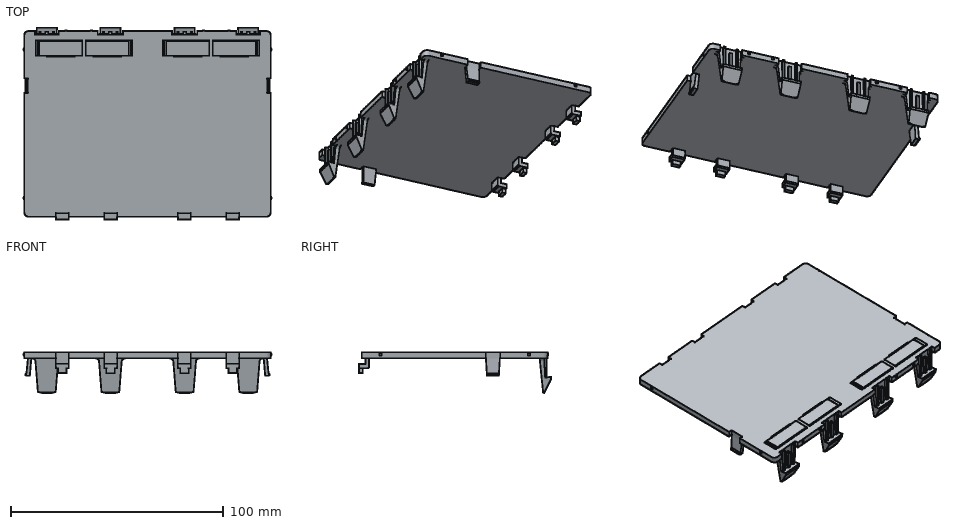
import cadquery as cq
import math


PLATE_LENGTH = 116.2
PLATE_WIDTH = 87.6
PLATE_THICKNESS = 3.0
CORNER_RADIUS = 2.1
HALF_LENGTH = PLATE_LENGTH / 2
HALF_WIDTH = PLATE_WIDTH / 2

NOTCH_DEPTH = 1.72

PIP_HEIGHT = 0.35
PIP_BASE_RADIUS = 0.65
PIP_Z = PLATE_THICKNESS - 1.07
SIDE_PIP_Y = 35.0
HOOK_EDGE_PIP_X = (26.4, 38.4)

HOOK_NOTCHES = ((17.5, 11.7), (47.45, 11.1))
HOOK_DEPTH = 16.28
HOOK_TOP_WIDTH = 11.0
HOOK_BOTTOM_WIDTH = 8.5
HOOK_ROOT_RADIUS = 1.5
HOOK_TIP_CHAMFER = 2.0
HOOK_TIP_DROP = 0.5
HOOK_ROOT_THICKNESS = 2.1
HOOK_LEAN = 0.5
BARB_OVERHANG = 1.6
BARB_TOP_DEPTH = 8.55
BARB_UNDERCUT = 0.45
BARB_NOSE_DEPTH = 9.9
HOOK_TIP_SETBACK = 1.6
HOOK_BACK_SETBACK = 2.2
HOOK_BACK_DEPTH = 16.0

RIB_SETBACK = 0.43
OUTER_RIB_OFFSET = 3.2
OUTER_RIB_WIDTH = 0.8
MIDDLE_RIB_WIDTH = 1.3

STEP_CLIP_X = (17.4, 40.1)
STEP_CLIP_WIDTH = 6.15
STEP_WALL = 1.8
STEP_OVERHANG = 1.3
STEP_TOP_DEPTH = 2.55
STEP_BOTTOM_DEPTH = 4.65
STEP_CHAMFER = 0.6
TONGUE_WIDTH = 4.0
TONGUE_THICKNESS = 1.9
TONGUE_DEPTH = 6.9

SIDE_CLIP_Y = 18.0
SIDE_NOTCH_WIDTH = 6.85
SIDE_CLIP_TOP_WIDTH = 6.7
SIDE_CLIP_BOTTOM_WIDTH = 5.7
SIDE_CLIP_THICKNESS = 1.7
SIDE_CLIP_LEAN = 0.7
SIDE_BARB_SETBACK = 0.43
SIDE_BARB_TOP_DEPTH = 6.87
SIDE_BARB_NOSE_DEPTH = 7.7
SIDE_CLIP_DEPTH = 8.15

PAIR_X = 29.85
PAIR_GAP = 1.72
POCKET_LENGTH = 21.9
POCKET_WIDTH = 7.3
POCKET_EDGE_DISTANCE = 4.4
POCKET_DEPTH = 0.8
POCKET_RAMP = 0.86
LABEL_END_GAP = 1.72
LABEL_SIDE_GAP = 0.43
POCKET_RELIEF_LENGTH = 13.2
POCKET_RELIEF_WIDTH = 0.43
POCKET_Y_MAX = HALF_WIDTH - POCKET_EDGE_DISTANCE
POCKET_Y_MIN = POCKET_Y_MAX - POCKET_WIDTH
POCKET_FLOOR = PLATE_THICKNESS - POCKET_DEPTH
LABEL_LENGTH = POCKET_LENGTH - LABEL_END_GAP
LABEL_X_MIN = PAIR_X + PAIR_GAP / 2
LABEL_WIDTH = POCKET_WIDTH - LABEL_SIDE_GAP


def box(x_min, x_max, y_min, y_max, z_min, z_max):
    """Block between the given limits."""
    return (
        cq.Workplane("XY")
        .box(x_max - x_min, y_max - y_min, z_max - z_min, centered=False)
        .translate((x_min, y_min, z_min))
    )


def yz_prism(points, x_center, width):
    """Outline in the YZ plane, extruded equally to both sides of x_center."""
    outline = cq.Workplane("YZ", origin=(x_center, 0, 0)).polyline(points).close()
    return outline.extrude(width / 2, both=True)


def both_signs(distances):
    """Each distance on both sides of the middle."""
    return [sign * distance for distance in distances for sign in (-1, 1)]


def plate():
    """Flat cover with rounded corners."""
    return (
        cq.Workplane("XY")
        .rect(PLATE_LENGTH, PLATE_WIDTH)
        .extrude(PLATE_THICKNESS)
        .edges("|Z")
        .fillet(CORNER_RADIUS)
    )


def edge_notches():
    """Notches through the plate edge at every hook and clip."""
    double_depth = 2 * NOTCH_DEPTH
    notches = []
    for distance, width in HOOK_NOTCHES:
        for x in both_signs([distance]):
            notches.append((x, HALF_WIDTH, width, double_depth))
    for x in both_signs(STEP_CLIP_X):
        notches.append((x, -HALF_WIDTH, STEP_CLIP_WIDTH, double_depth))
    for x in both_signs([HALF_LENGTH]):
        notches.append((x, SIDE_CLIP_Y, double_depth, SIDE_NOTCH_WIDTH))
    return [
        cq.Workplane("XY").center(x, y).rect(size_x, size_y).extrude(PLATE_THICKNESS)
        for x, y, size_x, size_y in notches
    ]


def pips():
    """Spherical caps standing on the side edges and on the hook edge."""
    sphere_radius = (PIP_BASE_RADIUS**2 + PIP_HEIGHT**2) / (2 * PIP_HEIGHT)
    sink = sphere_radius - PIP_HEIGHT
    centers = [(x, y) for x in both_signs([HALF_LENGTH - sink]) for y in both_signs([SIDE_PIP_Y])]
    centers += [(x, HALF_WIDTH - sink) for x in both_signs(HOOK_EDGE_PIP_X)]
    sphere = cq.Workplane("XY").sphere(sphere_radius).rotate((0, 0, 0), (0, 0, 1), -90)
    return [sphere.translate((x, y, PIP_Z)) for x, y in centers]


def snap_hook(x):
    """Tapered hook with an outward barb, hanging from the floor of its notch."""
    root_y = HALF_WIDTH - NOTCH_DEPTH
    side_profile = yz_prism(
        [
            (root_y - HOOK_ROOT_THICKNESS, 0),
            (root_y, 0),
            (root_y + HOOK_LEAN, -BARB_TOP_DEPTH - BARB_UNDERCUT),
            (HALF_WIDTH + BARB_OVERHANG, -BARB_TOP_DEPTH),
            (HALF_WIDTH + BARB_OVERHANG, -BARB_NOSE_DEPTH),
            (HALF_WIDTH - HOOK_TIP_SETBACK, -HOOK_DEPTH),
            (HALF_WIDTH - HOOK_BACK_SETBACK, -HOOK_BACK_DEPTH),
        ],
        x,
        2 * HOOK_TOP_WIDTH,
    )
    top = HOOK_TOP_WIDTH / 2
    bottom = HOOK_BOTTOM_WIDTH / 2
    corner_depth = HOOK_DEPTH - HOOK_TIP_DROP
    taper = math.atan((top - bottom) / corner_depth)
    tangent = HOOK_ROOT_RADIUS * math.tan(math.pi / 4 - taper / 2)
    arc_start = (top + tangent, 0)
    arc_end = (top - tangent * math.sin(taper), -tangent * math.cos(taper))
    middle_angle = (math.pi / 2 - taper) / 2
    arc_middle = (
        arc_start[0] - HOOK_ROOT_RADIUS * math.sin(middle_angle),
        -HOOK_ROOT_RADIUS * (1 - math.cos(middle_angle)),
    )
    front_profile = (
        cq.Workplane("XZ")
        .moveTo(0, 0)
        .lineTo(*arc_start)
        .threePointArc(arc_middle, arc_end)
        .lineTo(bottom, -corner_depth)
        .lineTo(bottom - HOOK_TIP_CHAMFER, -HOOK_DEPTH)
        .lineTo(0, -HOOK_DEPTH)
        .close()
        .extrude(PLATE_WIDTH, both=True)
    )
    front_profile = front_profile.union(front_profile.mirror("YZ"))
    return side_profile.intersect(front_profile.translate((x, 0, 0)))


def hook_ribs(x):
    """Two full-height ribs near the hook flanks and a lower one in the middle, all down to the barb."""
    floor_y = HALF_WIDTH - NOTCH_DEPTH
    face_y = HALF_WIDTH - RIB_SETBACK
    foot_z = -BARB_TOP_DEPTH - BARB_UNDERCUT
    back_y = floor_y - HOOK_ROOT_THICKNESS / 2

    def rib(center, width, top_z):
        lower = box(center - width / 2, center + width / 2, back_y, face_y, foot_z, 0)
        upper = box(center - width / 2, center + width / 2, floor_y, face_y, foot_z, top_z)
        return lower.union(upper)

    ribs = [rib(x + offset, OUTER_RIB_WIDTH, PLATE_THICKNESS) for offset in both_signs([OUTER_RIB_OFFSET])]
    ribs.append(rib(x, MIDDLE_RIB_WIDTH, 0))
    return ribs


def step_clip(x):
    """Wall below the notch floor that steps outward and ends in a narrow tongue."""
    outer_y = -HALF_WIDTH - STEP_OVERHANG
    wall_outer_y = -HALF_WIDTH + NOTCH_DEPTH
    wall_inner_y = wall_outer_y + STEP_WALL
    bracket = yz_prism(
        [
            (wall_inner_y, 0),
            (wall_inner_y, -STEP_BOTTOM_DEPTH + STEP_CHAMFER),
            (wall_inner_y - STEP_CHAMFER, -STEP_BOTTOM_DEPTH),
            (outer_y, -STEP_BOTTOM_DEPTH),
            (outer_y, -STEP_TOP_DEPTH),
            (wall_outer_y, -STEP_TOP_DEPTH),
            (wall_outer_y, 0),
        ],
        x,
        STEP_CLIP_WIDTH,
    )
    tongue = box(
        x - TONGUE_WIDTH / 2,
        x + TONGUE_WIDTH / 2,
        outer_y,
        outer_y + TONGUE_THICKNESS,
        -TONGUE_DEPTH,
        -STEP_BOTTOM_DEPTH,
    )
    return bracket.union(tongue)


def side_clip():
    """Tapered clip on the +X edge, leaning outward to a small barb."""
    root_x = HALF_LENGTH - NOTCH_DEPTH
    nose_x = HALF_LENGTH - SIDE_BARB_SETBACK
    foot_x = root_x + SIDE_CLIP_LEAN
    side_profile = (
        cq.Workplane("XZ")
        .polyline(
            [
                (root_x - SIDE_CLIP_THICKNESS, 0),
                (root_x, 0),
                (foot_x, -SIDE_BARB_TOP_DEPTH),
                (nose_x, -SIDE_BARB_NOSE_DEPTH),
                (foot_x, -SIDE_CLIP_DEPTH),
                (foot_x - SIDE_CLIP_THICKNESS, -SIDE_CLIP_DEPTH),
            ]
        )
        .close()
        .extrude(PLATE_WIDTH, both=True)
    )
    top = SIDE_CLIP_TOP_WIDTH / 2
    bottom = SIDE_CLIP_BOTTOM_WIDTH / 2
    front_profile = (
        cq.Workplane("YZ")
        .polyline(
            [
                (SIDE_CLIP_Y - top, 0),
                (SIDE_CLIP_Y + top, 0),
                (SIDE_CLIP_Y + bottom, -SIDE_CLIP_DEPTH),
                (SIDE_CLIP_Y - bottom, -SIDE_CLIP_DEPTH),
            ]
        )
        .close()
        .extrude(PLATE_LENGTH)
    )
    return side_profile.intersect(front_profile)


def at_label_places(shape):
    """Copies of a shape, made for the outer place on the +X side, at all four label places."""
    inner = shape.mirror("YZ", (PAIR_X, 0, 0))
    right_pair = [inner, shape]
    return [copy.mirror("YZ") for copy in right_pair] + right_pair


def label_pocket():
    """Shallow pocket with a fingernail ramp at its outer end and a relief along its -Y side."""
    outer_x = LABEL_X_MIN + POCKET_LENGTH
    recess = (
        cq.Workplane("XZ", origin=(0, POCKET_Y_MAX, 0))
        .polyline(
            [
                (LABEL_X_MIN, POCKET_FLOOR),
                (outer_x - POCKET_RAMP, POCKET_FLOOR),
                (outer_x, PLATE_THICKNESS),
                (LABEL_X_MIN, PLATE_THICKNESS),
            ]
        )
        .close()
        .extrude(POCKET_WIDTH)
    )
    relief_middle = LABEL_X_MIN + LABEL_LENGTH / 2
    relief = box(
        relief_middle - POCKET_RELIEF_LENGTH / 2,
        relief_middle + POCKET_RELIEF_LENGTH / 2,
        POCKET_Y_MIN - POCKET_RELIEF_WIDTH,
        POCKET_Y_MIN,
        POCKET_FLOOR,
        PLATE_THICKNESS,
    )
    return recess.union(relief)


def label():
    """Flat label lying on the pocket floor, level with the plate top."""
    return box(
        LABEL_X_MIN,
        LABEL_X_MIN + LABEL_LENGTH,
        POCKET_Y_MIN,
        POCKET_Y_MIN + LABEL_WIDTH,
        POCKET_FLOOR,
        PLATE_THICKNESS,
    )


def cover():
    """Plate with its notches, pips, hooks, clips and label pockets."""
    body = plate()
    for notch in edge_notches():
        body = body.cut(notch)
    additions = pips()
    for distance, _ in HOOK_NOTCHES:
        for x in both_signs([distance]):
            additions.append(snap_hook(x))
            additions.extend(hook_ribs(x))
    additions.extend(step_clip(x) for x in both_signs(STEP_CLIP_X))
    additions.extend([side_clip(), side_clip().mirror("YZ")])
    for addition in additions:
        body = body.union(addition)
    for pocket in at_label_places(label_pocket()):
        body = body.cut(pocket)
    return body


housing = cover()
labels = at_label_places(label())

result = cq.Compound.makeCompound([housing.val(), *[piece.val() for piece in labels]])